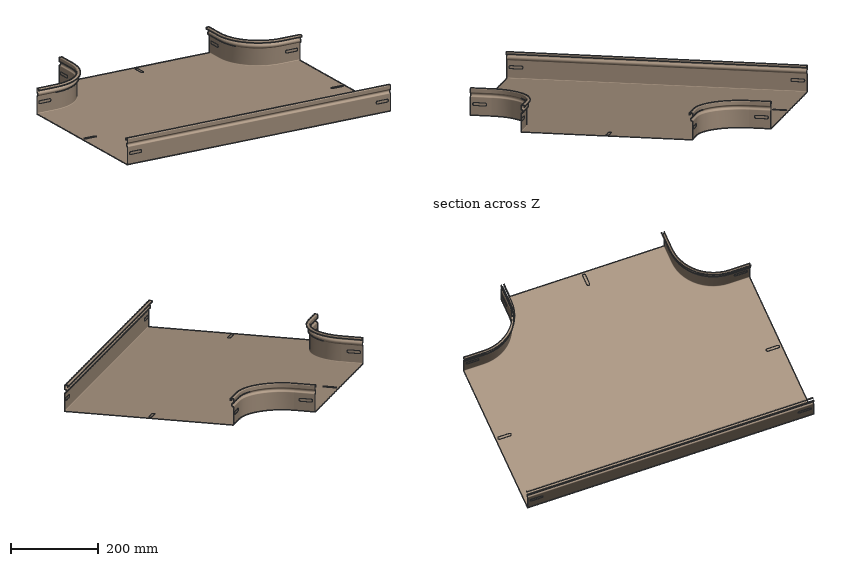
import cadquery as cq
import math

length = 701.0
width = 552.0
height = 64.0
sheet = 1.0
bend = 2.45

corner_radius = 100.0
arm = 50.0
corner = corner_radius + arm
mouth_half = length / 2 - corner

flange = 9.0
lip_bottom = 58.0
bead_radius = 4.0
bead_fillet = 2.0
bead_z = 48.5

pad_length = 32.0
pad_width = 7.0
pad_rise = 0.35
pad_offset = 5.5
pad_z = 27.0


def bend_point(u_center, z_center, radius, degrees):
    """Point on a bend of the wall section."""
    angle = math.radians(degrees)
    return (u_center + radius * math.cos(angle), z_center + radius * math.sin(angle))


def wall_section(plane):
    """Closed wall outline: up the outer skin to the lip, then back down the inner skin."""
    inner_bend = bend - sheet
    top = height - bend
    tip = flange - bend
    curl = lip_bottom + bend
    crest = bead_radius + sheet
    blend_rise = math.sqrt(bead_radius**2 + 2 * bead_radius * bead_fillet)
    blend_angle = math.degrees(math.atan2(blend_rise, bead_fillet))
    blend_middle = 180 - blend_angle / 2
    low = bead_z - blend_rise
    high = bead_z + blend_rise
    inner_fillet = bead_fillet - sheet
    return (
        cq.Workplane(plane)
        .moveTo(bend, 0)
        .threePointArc(bend_point(bend, bend, bend, 225), (0, bend))
        .lineTo(0, low)
        .threePointArc(
            bend_point(bead_fillet, low, bead_fillet, blend_middle),
            bend_point(0, bead_z, bead_radius, -blend_angle),
        )
        .threePointArc((bead_radius, bead_z), bend_point(0, bead_z, bead_radius, blend_angle))
        .threePointArc(bend_point(bead_fillet, high, bead_fillet, -blend_middle), (0, high))
        .lineTo(0, top)
        .threePointArc(bend_point(bend, top, bend, 135), (bend, height))
        .lineTo(tip, height)
        .threePointArc(bend_point(tip, top, bend, 45), (flange, top))
        .lineTo(flange, curl)
        .threePointArc(bend_point(tip, curl, bend, -45), (tip, lip_bottom))
        .lineTo(tip, lip_bottom + sheet)
        .threePointArc(bend_point(tip, curl, inner_bend, -45), (flange - sheet, curl))
        .lineTo(flange - sheet, top)
        .threePointArc(bend_point(tip, top, inner_bend, 45), (tip, height - sheet))
        .lineTo(bend, height - sheet)
        .threePointArc(bend_point(bend, top, inner_bend, 135), (sheet, top))
        .lineTo(sheet, high)
        .threePointArc(
            bend_point(bead_fillet, high, inner_fillet, -blend_middle),
            bend_point(0, bead_z, crest, blend_angle),
        )
        .threePointArc((crest, bead_z), bend_point(0, bead_z, crest, -blend_angle))
        .threePointArc(bend_point(bead_fillet, low, inner_fillet, blend_middle), (sheet, low))
        .lineTo(sheet, bend)
        .threePointArc(bend_point(bend, bend, inner_bend, 225), (bend, sheet))
        .close()
    )


def corner_path(inset):
    """Corner cut-out edge from the -X side to the -Y side, moved inward by inset."""
    radius = corner_radius + inset
    along = radius * math.sqrt(0.5)
    return (
        cq.Workplane("XY")
        .moveTo(0, -mouth_half + inset)
        .lineTo(arm, -mouth_half + inset)
        .threePointArc((arm + along, -length / 2 + arm + along), (corner + inset, -length / 2 + arm))
        .lineTo(corner + inset, -length / 2)
    )


def pad(plane):
    """Obround pad on the plane, long along the plane's x axis."""
    return cq.Workplane(plane).slot2D(pad_length, pad_width).extrude(pad_rise)


def mirrored(shape):
    """The shape together with its mirror image across the XZ plane."""
    return shape.union(shape.mirror("XZ"))


floor_half = (
    corner_path(bend)
    .lineTo(width - bend, -length / 2)
    .lineTo(width - bend, 0)
    .lineTo(0, 0)
    .close()
    .extrude(sheet)
)
floor = mirrored(floor_half)

side_plane = cq.Plane(origin=(width, -length / 2, 0), xDir=(-1, 0, 0), normal=(0, 1, 0))
side_wall = wall_section(side_plane).extrude(length)

corner_plane = cq.Plane(origin=(0, -mouth_half, 0), xDir=(0, 1, 0), normal=(1, 0, 0))
corner_wall = wall_section(corner_plane).sweep(corner_path(0))

pad_inset = pad_offset + pad_length / 2
end_y = -length / 2 + pad_inset
branch_center_x = corner + mouth_half
end_pads = (
    pad(cq.Plane((branch_center_x, end_y, sheet), (0, 1, 0), (0, 0, 1)))
    .union(pad(cq.Plane((width - sheet, end_y, pad_z), (0, 1, 0), (-1, 0, 0))))
    .union(pad(cq.Plane((corner, end_y, pad_z), (0, 1, 0), (-1, 0, 0))))
    .union(pad(cq.Plane((pad_inset, -mouth_half, pad_z), (1, 0, 0), (0, -1, 0))))
)
mouth_pad = pad(cq.Plane((pad_inset, 0, sheet), (1, 0, 0), (0, 0, 1)))

result = (
    floor.union(side_wall)
    .union(mirrored(corner_wall))
    .union(mirrored(end_pads))
    .union(mouth_pad)
)